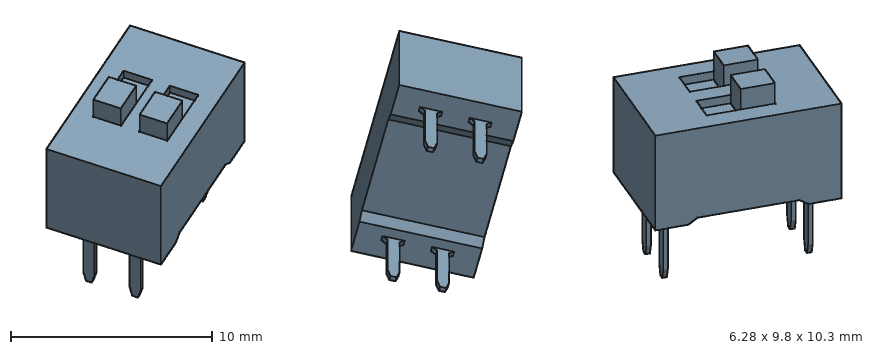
import cadquery as cq


HOUSING_WIDTH = 6.28
HOUSING_LENGTH = 9.8
HOUSING_HEIGHT = 5.4
TOTAL_HEIGHT = 10.35

RELIEF_HEIGHT = 0.31
RELIEF_BOTTOM_LENGTH = 6.33
RELIEF_TOP_LENGTH = 5.36

SWITCH_PITCH = 2.54
SWITCH_XS = (-SWITCH_PITCH / 2, SWITCH_PITCH / 2)

SLIDER_WIDTH = 1.5
SLIDER_LENGTH = 1.8
SLIDER_CLEARANCE = 0.03
SLOT_WIDTH = SLIDER_WIDTH + 2 * SLIDER_CLEARANCE
SLOT_LENGTH = 3.63
SLOT_DEPTH = 0.48
SLOT_FLOOR_Z = HOUSING_HEIGHT - SLOT_DEPTH

PIN_DROP = 3.8
PIN_ROW_SPACING = 7.62
PIN_THICKNESS = 0.25
PIN_WIDTH = 0.62
SHOULDER_WIDTH = 1.14
SHOULDER_HEIGHT = (SHOULDER_WIDTH - PIN_WIDTH) / 2
TIP_WIDTH = 0.31
TIP_HEIGHT = 0.56

SLIDER_TOP_Z = TOTAL_HEIGHT - PIN_DROP


def make_housing():
    """Box with a relief across its underside and one slot per switch."""
    block = cq.Workplane("XY").box(
        HOUSING_WIDTH, HOUSING_LENGTH, HOUSING_HEIGHT, centered=(True, True, False)
    )
    relief = (
        cq.Workplane("YZ")
        .polyline([
            (-RELIEF_BOTTOM_LENGTH / 2, 0),
            (-RELIEF_TOP_LENGTH / 2, RELIEF_HEIGHT),
            (RELIEF_TOP_LENGTH / 2, RELIEF_HEIGHT),
            (RELIEF_BOTTOM_LENGTH / 2, 0),
        ])
        .close()
        .extrude(HOUSING_WIDTH / 2, both=True)
    )
    slots = (
        cq.Workplane("XY", origin=(0, 0, SLOT_FLOOR_Z))
        .pushPoints([(x, 0) for x in SWITCH_XS])
        .rect(SLOT_WIDTH, SLOT_LENGTH)
        .extrude(SLOT_DEPTH)
    )
    return block.cut(relief).cut(slots)


def make_slider(x):
    """Block standing on the slot floor, at the slot's -Y end."""
    center_y = -SLOT_LENGTH / 2 + SLIDER_CLEARANCE + SLIDER_LENGTH / 2
    return (
        cq.Workplane("XY", origin=(x, center_y, SLOT_FLOOR_Z))
        .rect(SLIDER_WIDTH, SLIDER_LENGTH)
        .extrude(SLIDER_TOP_Z - SLOT_FLOOR_Z)
    )


def make_pin(x, y):
    """Flat pin hanging from the housing, with a flared shoulder and a tapered tip."""
    return (
        cq.Workplane("XZ", origin=(x, y, 0))
        .polyline([
            (-SHOULDER_WIDTH / 2, 0),
            (SHOULDER_WIDTH / 2, 0),
            (PIN_WIDTH / 2, -SHOULDER_HEIGHT),
            (PIN_WIDTH / 2, TIP_HEIGHT - PIN_DROP),
            (TIP_WIDTH / 2, -PIN_DROP),
            (-TIP_WIDTH / 2, -PIN_DROP),
            (-PIN_WIDTH / 2, TIP_HEIGHT - PIN_DROP),
            (-PIN_WIDTH / 2, -SHOULDER_HEIGHT),
        ])
        .close()
        .extrude(PIN_THICKNESS / 2, both=True)
    )


housing = make_housing()
sliders = [make_slider(x) for x in SWITCH_XS]
pins = [make_pin(x, y) for x in SWITCH_XS for y in (-PIN_ROW_SPACING / 2, PIN_ROW_SPACING / 2)]

result = cq.Compound.makeCompound([body.val() for body in [housing, *sliders, *pins]])